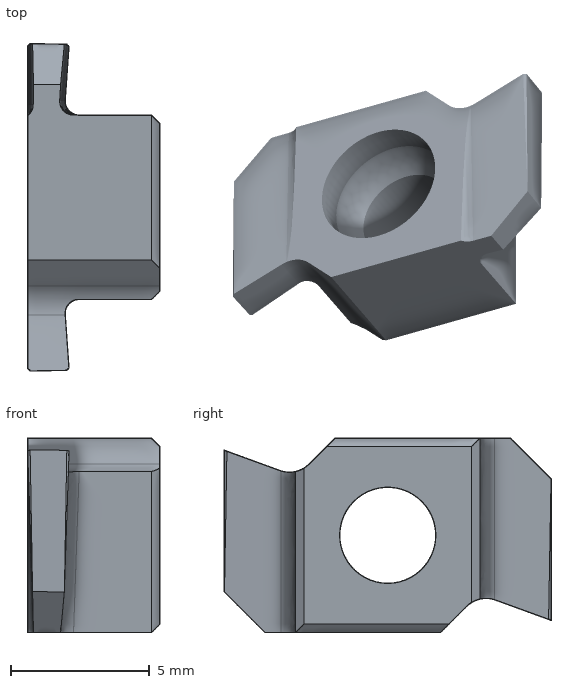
import cadquery as cq
import math


WIDTH = 4.76
LENGTH = 11.8
HEIGHT = 7.0
HALF_LENGTH = LENGTH / 2
HALF_HEIGHT = HEIGHT / 2

TIP_Z = 3.07
RAKE = math.radians(20)
GULLET_START = 1.9
GULLET_RADIUS = 1.0
HEEL_CHAMFER = 1.48

BLOCK_HALF_LENGTH = 3.32
BACK_CHAMFER = 0.3

TOOTH_WIDTH = 1.5
RELIEF = math.tan(math.radians(2))
BACK_TAPER = math.tan(math.radians(4))
FLANK_RADIUS = 0.5
OUTER_ROOT = 3.7
FRONT_LEAN = math.tan(math.radians(1))
CORNER_CHAMFER = 0.09

HEAD_DIAMETER = 4.55
BORE_DIAMETER = 3.45
HEAD_DEPTH = 1.16
SEAT_END = 2.26
SEAT_RADIUS = 3.0

CLEARANCE = 1.0


def half_turn(shape):
    """Rotate a shape by 180 degrees about the X axis."""
    return shape.rotate((0, 0, 0), (1, 0, 0), 180)


def ramp_height(reach):
    """Height of the rake face at a distance from the axis toward -Y."""
    return TIP_Z - (HALF_LENGTH - reach) * math.tan(RAKE)


def make_blank():
    """Side outline extruded through the full width."""
    corner = (HALF_HEIGHT + GULLET_START - ramp_height(0)) / (1 + math.tan(RAKE))
    corner_z = ramp_height(corner)
    wall_slope = math.sin(math.pi / 4)
    tangent = GULLET_RADIUS * math.tan((math.pi / 4 + RAKE) / 2)
    wall_end = corner - tangent * wall_slope
    wall_end_z = corner_z + tangent * wall_slope
    rake_start = corner + tangent * math.cos(RAKE)
    center_y = wall_end + GULLET_RADIUS * wall_slope
    center_z = wall_end_z + GULLET_RADIUS * wall_slope
    gullet_bottom = (center_y, center_z - GULLET_RADIUS)
    heel_y = HALF_LENGTH - HEEL_CHAMFER
    heel_z = HALF_HEIGHT - HEEL_CHAMFER

    side = cq.Plane(origin=(0, 0, 0), xDir=(0, -1, 0), normal=(-1, 0, 0))
    outline = cq.Workplane(side).moveTo(-heel_y, HALF_HEIGHT)
    for turn in (1, -1):
        outline = (
            outline.lineTo(turn * GULLET_START, turn * HALF_HEIGHT)
            .lineTo(turn * wall_end, turn * wall_end_z)
            .threePointArc(
                (turn * gullet_bottom[0], turn * gullet_bottom[1]),
                (turn * rake_start, turn * ramp_height(rake_start)),
            )
            .lineTo(turn * HALF_LENGTH, turn * TIP_Z)
            .lineTo(turn * HALF_LENGTH, -turn * heel_z)
            .lineTo(turn * heel_y, -turn * HALF_HEIGHT)
        )
    return outline.close().extrude(-WIDTH)


def chamfer_back(body):
    """Trim to the block behind the teeth and bevel its top, bottom and ends at the back face."""
    tooth_zone = TOOTH_WIDTH + FLANK_RADIUS
    front_part = (
        cq.Workplane("XY")
        .box(tooth_zone, LENGTH, HEIGHT)
        .translate((tooth_zone / 2, 0, 0))
    )
    block = (
        cq.Workplane("XY")
        .box(WIDTH, 2 * BLOCK_HALF_LENGTH, HEIGHT)
        .translate((WIDTH / 2, 0, 0))
        .faces(">X")
        .chamfer(BACK_CHAMFER)
    )
    return body.intersect(block.union(front_part))


def sheared_prism(outline, shear):
    """Upright prism over an XY outline drawn at the tip height, sliding along X as it rises."""
    above = HEIGHT
    depth = 2 * HEIGHT
    wire = outline.val().translate(cq.Vector(shear * above, 0, above))
    return cq.Workplane(cq.Solid.extrudeLinear(wire, [], cq.Vector(-shear * depth, 0, -depth)))


def inner_flank_cutter():
    """Space beside the tooth: tapered flank, rounded root and the end of the block."""
    slope = BACK_TAPER - math.tan(RAKE) * RELIEF
    tilt = math.atan(slope)
    far = HALF_LENGTH + CLEARANCE

    def flank_x(reach):
        return TOOTH_WIDTH - (HALF_LENGTH - reach) * slope

    center_reach = BLOCK_HALF_LENGTH + FLANK_RADIUS
    center_x = flank_x(center_reach) + FLANK_RADIUS / math.cos(tilt)
    tangent_reach = center_reach + FLANK_RADIUS * math.sin(tilt)
    middle = (math.pi / 2 - tilt) / 2
    arc_middle = (
        center_x - FLANK_RADIUS * math.sin(middle),
        -(center_reach - FLANK_RADIUS * math.cos(middle)),
    )
    back = WIDTH + CLEARANCE
    outline = (
        cq.Workplane("XY", origin=(0, 0, TIP_Z))
        .moveTo(back, -far)
        .lineTo(flank_x(far), -far)
        .lineTo(flank_x(tangent_reach), -tangent_reach)
        .threePointArc(arc_middle, (center_x, -BLOCK_HALF_LENGTH))
        .lineTo(back, -BLOCK_HALF_LENGTH)
        .close()
        .wire()
    )
    return sheared_prism(outline, RELIEF)


def outer_flank_cutter():
    """Relief on the outer side of the tooth, running out of the face in a hollow round."""
    slope = math.tan(RAKE) * RELIEF
    far = HALF_LENGTH + CLEARANCE
    tilt = math.atan(slope)

    def flank_x(reach):
        return -(HALF_LENGTH - reach) * slope

    center_x = flank_x(OUTER_ROOT) - FLANK_RADIUS * math.cos(tilt)
    center_reach = OUTER_ROOT + FLANK_RADIUS * math.sin(tilt)
    middle = math.pi / 4
    arc_middle = (
        center_x + FLANK_RADIUS * math.cos(middle),
        -(center_reach - FLANK_RADIUS * math.sin(middle)),
    )
    arc_end = (center_x, -(center_reach - FLANK_RADIUS))
    outline = (
        cq.Workplane("XY", origin=(0, 0, TIP_Z))
        .moveTo(center_x, -far)
        .lineTo(flank_x(far), -far)
        .lineTo(flank_x(OUTER_ROOT), -OUTER_ROOT)
        .threePointArc(arc_middle, arc_end)
        .close()
        .wire()
    )
    return sheared_prism(outline, -RELIEF)


def plane_cutter(top, side, bottom, thickness):
    """Slab whose inner face passes through three points and which lies beyond it toward -Y."""
    along = cq.Vector(*bottom) - cq.Vector(*top)
    normal = along.cross(cq.Vector(*side) - cq.Vector(*top))
    if normal.y > 0:
        normal = normal * -1
    plane = cq.Plane(origin=top, xDir=along, normal=normal)
    return cq.Workplane(plane).rect(4 * HEIGHT, 2 * TOOTH_WIDTH).extrude(thickness)


def front_y(x):
    """Position of the leaning front face."""
    return -HALF_LENGTH + FRONT_LEAN * x


def tip_cutters():
    """Leaning front face and the two corner bevels that fade out at the heel."""
    heel_z = HEEL_CHAMFER - HALF_HEIGHT
    drop = RELIEF * (TIP_Z - heel_z)
    front = plane_cutter(
        (0, front_y(0), TIP_Z),
        (TOOTH_WIDTH, front_y(TOOTH_WIDTH), TIP_Z),
        (0, front_y(0), heel_z),
        CLEARANCE,
    )
    cutters = [front]
    for edge_x, inward in ((0, 1), (TOOTH_WIDTH, -1)):
        face_x = edge_x + inward * CORNER_CHAMFER
        heel_x = edge_x + inward * drop
        cutters.append(
            plane_cutter(
                (face_x, front_y(face_x), TIP_Z),
                (edge_x, front_y(edge_x) + CORNER_CHAMFER, TIP_Z),
                (heel_x, front_y(heel_x), heel_z),
                CORNER_CHAMFER,
            )
        )
    return cutters


def screw_hole():
    """Stepped hole along X with a slightly hollow tapered seat for the screw head."""
    head_radius = HEAD_DIAMETER / 2
    bore_radius = BORE_DIAMETER / 2
    run = SEAT_END - HEAD_DEPTH
    step = head_radius - bore_radius
    chord = math.hypot(run, step)
    sagitta = SEAT_RADIUS - math.sqrt(SEAT_RADIUS**2 - chord**2 / 4)
    seat_middle = (
        HEAD_DEPTH + run / 2 + sagitta * step / chord,
        -(head_radius - step / 2 + sagitta * run / chord),
    )
    return (
        cq.Workplane("XZ")
        .lineTo(0, -head_radius)
        .lineTo(HEAD_DEPTH, -head_radius)
        .threePointArc(seat_middle, (SEAT_END, -bore_radius))
        .lineTo(WIDTH, -bore_radius)
        .lineTo(WIDTH, 0)
        .close()
        .revolve(360, (0, 0, 0), (1, 0, 0))
    )


result = chamfer_back(make_blank())
for cutter in [inner_flank_cutter(), outer_flank_cutter()] + tip_cutters():
    result = result.cut(cutter).cut(half_turn(cutter))
result = result.cut(screw_hole())